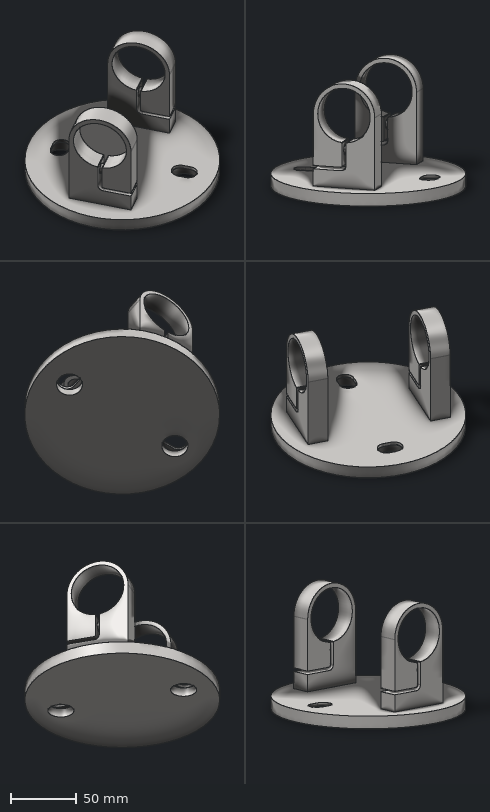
import cadquery as cq
import math

plate_diameter = 150.0
plate_thickness = 10.0

overall_height = 92.0
bracket_width = 50.0
bracket_thickness = 16.0
bracket_offset = 50.0
bore_diameter = 42.6
bracket_radius = bracket_width / 2
bore_height = overall_height - bracket_radius

gap_width = 3.2
gap_leg_height = 2.7
gap_bottom = 23.5
gap_inner_radius = 1.0
gap_outer_radius = gap_inner_radius + gap_width
gap_mouth_chamfer = 0.5

pin_diameter = 8.0
pin_height = 38.5

slot_length = 20.0
slot_width = 13.5
slot_offset = 50.0
lip_thickness = 2.7
recess_diameter = slot_length


def make_plate():
    """Round plate with one slot along Y at -X and one along X at +X."""
    plate = cq.Workplane("XY").circle(plate_diameter / 2).extrude(plate_thickness)
    for x, angle in ((-slot_offset, 90), (slot_offset, 0)):
        base = cq.Workplane("XY", origin=(x, 0, 0))
        slot = base.slot2D(slot_length, slot_width, angle).extrude(plate_thickness)
        recess = base.circle(recess_diameter / 2).extrude(plate_thickness - lip_thickness)
        plate = plate.cut(slot).cut(recess)
    return plate


def xz_plane(y):
    """Workplane whose local axes are X and Z and whose extrusions are centred on y."""
    return cq.Workplane("XZ", origin=(0, y, 0))


def gap_cutter(y):
    """L-shaped prism from the bore down and out through the +X side."""
    half_gap = gap_width / 2
    top = gap_bottom + gap_leg_height
    corner = math.sqrt(0.5)
    outer_mid = gap_outer_radius * (1 - corner)
    inner_mid = gap_inner_radius * (1 - corner)
    return (
        xz_plane(y)
        .moveTo(-half_gap, bore_height)
        .lineTo(-half_gap, gap_bottom + gap_outer_radius)
        .threePointArc(
            (-half_gap + outer_mid, gap_bottom + outer_mid),
            (-half_gap + gap_outer_radius, gap_bottom),
        )
        .lineTo(bracket_width, gap_bottom)
        .lineTo(bracket_width, top)
        .lineTo(half_gap + gap_inner_radius, top)
        .threePointArc(
            (half_gap + inner_mid, top + inner_mid),
            (half_gap, top + gap_inner_radius),
        )
        .lineTo(half_gap, bore_height)
        .close()
        .extrude(bracket_thickness / 2, both=True)
    )


def make_bracket(y):
    """Split clamp bracket centred on y, with the pin joining both sides of its gap."""
    bracket = (
        xz_plane(y)
        .moveTo(-bracket_radius, plate_thickness)
        .lineTo(bracket_radius, plate_thickness)
        .lineTo(bracket_radius, bore_height)
        .threePointArc((0, overall_height), (-bracket_radius, bore_height))
        .close()
        .extrude(bracket_thickness / 2, both=True)
    )
    bore = (
        xz_plane(y)
        .center(0, bore_height)
        .circle(bore_diameter / 2)
        .extrude(bracket_thickness / 2, both=True)
    )
    bracket = bracket.cut(bore).cut(gap_cutter(y))

    mouth_z = bore_height - math.sqrt((bore_diameter / 2) ** 2 - (gap_width / 2) ** 2)
    mouth_edges = cq.selectors.BoxSelector(
        (-gap_width, y - bracket_thickness, mouth_z - gap_mouth_chamfer),
        (gap_width, y + bracket_thickness, mouth_z + gap_mouth_chamfer),
    )
    bracket = bracket.edges("|Y").edges(mouth_edges).chamfer(gap_mouth_chamfer)

    pin = (
        cq.Workplane("YZ", origin=(-gap_width / 2, y, pin_height))
        .circle(pin_diameter / 2)
        .extrude(gap_width)
    )
    return bracket.union(pin)


plate = make_plate()
brackets = [make_bracket(y) for y in (-bracket_offset, bracket_offset)]

result = cq.Compound.makeCompound([plate.val(), *[bracket.val() for bracket in brackets]])